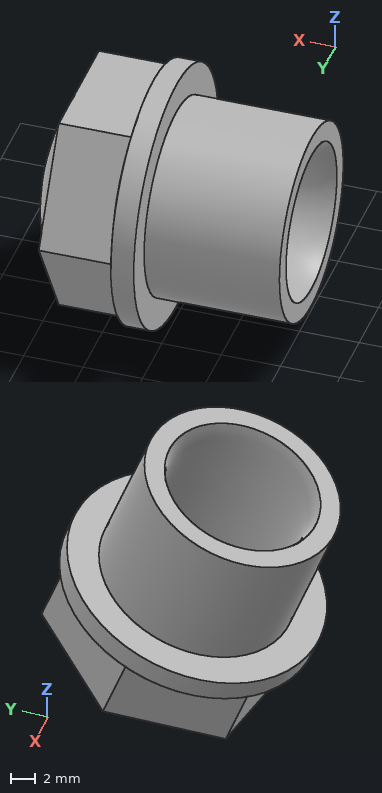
import cadquery as cq
import math

total_length = 22.0
shank_diameter = 16.6
shank_length = 11.4
flange_diameter = 22.0
flange_thickness = 1.94
flange_cone_angle = 15.5
hex_across_flats = 18.0
hex_end = 19.6
dome_base_radius = 8.6
mouth_radius = 6.6
throat_radius = 6.1
throat_depth = 2.27
bore_depth = 17.6
bore_taper = 0.5

shank_radius = shank_diameter / 2
flange_radius = flange_diameter / 2
flange_end = shank_length + flange_thickness
hex_inner_radius = hex_across_flats / 2
hex_across_corners = hex_across_flats / math.cos(math.radians(30))
cone_end = flange_end + (flange_radius - hex_inner_radius) * math.tan(math.radians(flange_cone_angle))
dome_height = total_length - hex_end
dome_radius = (dome_base_radius**2 + dome_height**2) / (2 * dome_height)
taper_slope = math.tan(math.radians(bore_taper))
floor_radius = throat_radius - (bore_depth - throat_depth) * taper_slope


def revolve_about_x(profile):
    """Turn a closed profile, drawn as (x, radius), about the X axis."""
    return profile.close().revolve(360, (0, 0, 0), (1, 0, 0))


def make_shank_and_flange():
    return revolve_about_x(
        cq.Workplane("XY")
        .lineTo(0, shank_radius)
        .lineTo(shank_length, shank_radius)
        .lineTo(shank_length, flange_radius)
        .lineTo(flange_end, flange_radius)
        .lineTo(cone_end, hex_inner_radius)
        .lineTo(cone_end, 0)
    )


def make_hex():
    """Hexagon with corners on the Y axis and flats facing up and down."""
    return (
        cq.Workplane("YZ", origin=(shank_length, 0, 0))
        .polygon(6, hex_across_corners)
        .extrude(hex_end - shank_length)
    )


def make_dome():
    middle_angle = math.asin(dome_base_radius / dome_radius) / 2
    dome_center = total_length - dome_radius
    middle = (
        dome_center + dome_radius * math.cos(middle_angle),
        dome_radius * math.sin(middle_angle),
    )
    return revolve_about_x(
        cq.Workplane("XY")
        .moveTo(flange_end, 0)
        .lineTo(flange_end, dome_base_radius)
        .lineTo(hex_end, dome_base_radius)
        .threePointArc(middle, (total_length, 0))
    )


def make_bore():
    """Slightly tapered blind bore whose rounded mouth runs smoothly into it."""
    return revolve_about_x(
        cq.Workplane("XY")
        .lineTo(bore_depth, 0)
        .lineTo(bore_depth, floor_radius)
        .lineTo(throat_depth, throat_radius)
        .tangentArcPoint((0, mouth_radius), relative=False)
        .lineTo(0, 0)
    )


result = make_shank_and_flange().union(make_hex()).union(make_dome()).cut(make_bore())